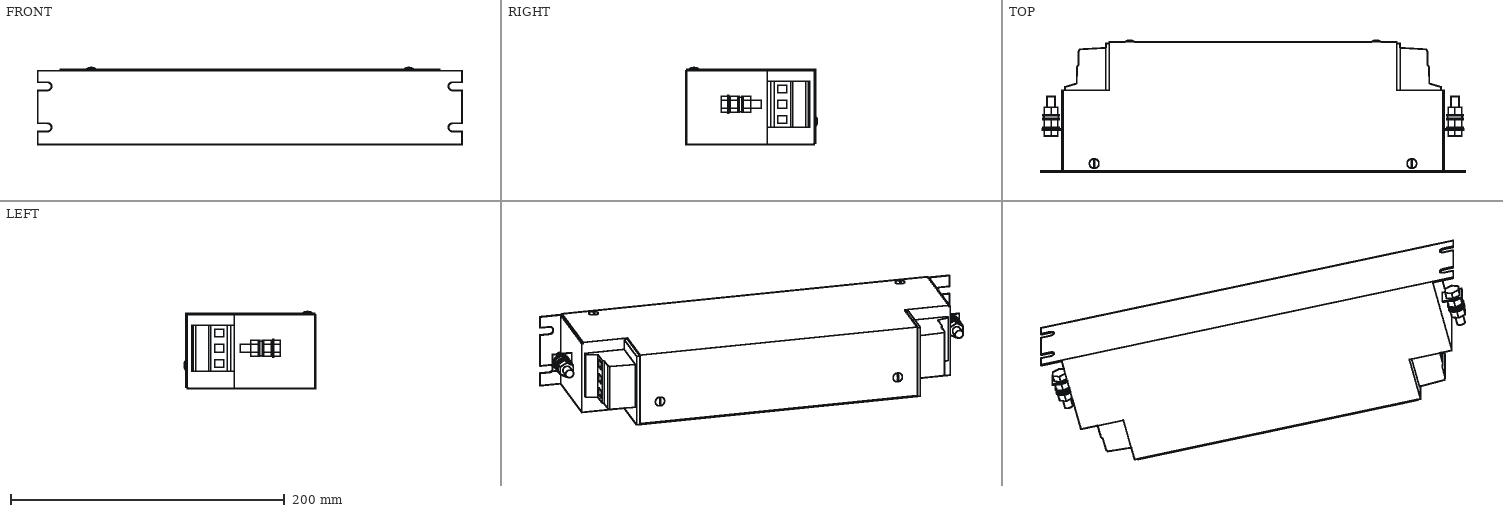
import cadquery as cq
import math

SHEET = 1.0
PLATE_LENGTH = 310.0
PLATE_HEIGHT = 54.0
CASE_LENGTH = 279.0
CASE_HEIGHT = PLATE_HEIGHT
CASE_BACK = 94.0
COVER_LENGTH = CASE_LENGTH - 2 * SHEET
COVER_TOP = CASE_HEIGHT + SHEET
COVER_BACK = CASE_BACK + SHEET

RECESS_FRONT = 59.8
RECESS_WALL_X = 107.5
COVER_WALL_X = 105.0

SLOT_WIDTH = 5.8
SLOT_DEPTH = 10.0
SLOT_SPACING = 30.0
SLOT_MID_Z = 27.6

CONNECTION_Z = 29.5
POLE_COUNT = 3
POLE_PITCH = 11.2
BLOCK_HEIGHT = POLE_COUNT * POLE_PITCH
BLOCK_REAR_Y = 90.8
BLOCK_REAR_CORNER = (126.6, 89.7)
BLOCK_CHAMFER_END = (127.5, 87.9)
BLOCK_STEP_REAR = (127.6, 78.3)
BLOCK_STEP_FRONT = (128.6, 76.7)
BLOCK_LEDGE_INNER = (128.8, 64.7)
BLOCK_LEDGE_OUTER = (137.3, 62.2)
OPENING_Y = 70.5
OPENING_WIDTH = 6.5
OPENING_HEIGHT = 5.6
OPENING_DEPTH = 5.0

STUD_X = 147.5
STUD_DIAMETER = 6.0
STUD_TIP_Y = 55.2
HEX_FLATS = 10.0
HEX_TURN = 30
HEX_CORNERS = HEX_FLATS / math.cos(math.pi / 6)
WASHER_DIAMETER = 12.0
SPRING_DIAMETER = 10.6
TAB_HEIGHT = 13.0
HEAD_FRONT_Y = 26.2
HEAD_LENGTH = 4.5
WASHER_THICKNESS = 1.0
TAB_THICKNESS = 1.0
NUT_LENGTH = 5.5
SPRING_THICKNESS = 1.8

SCREW_DIAMETER = 7.0
SCREW_HEAD_HEIGHT = 1.38
SCREW_SLOT_WIDTH = 0.6
SCREW_SLOT_DEPTH = 1.0
TOP_SCREW_X = 116.0
TOP_SCREW_Y = 6.2
BACK_SCREW_X = 90.0
BACK_SCREW_Z = 17.0


def box(x_range, y_range, z_range):
    """Axis-aligned box given by its lower and upper limits."""
    size = [high - low for low, high in (x_range, y_range, z_range)]
    corner = cq.Vector(x_range[0], y_range[0], z_range[0])
    return cq.Workplane("XY").box(*size, centered=False).translate(corner)


def stepped_box(length, front, back, bottom, top, wall_x):
    """Box whose rear corners are cut back to wall_x behind the recess front."""
    wide = box((-length / 2, length / 2), (front, RECESS_FRONT), (bottom, top))
    return wide.union(box((-wall_x, wall_x), (front, back), (bottom, top)))


def mounting_plate():
    half_length = PLATE_LENGTH / 2
    plate = box((-half_length, half_length), (0, SHEET), (0, PLATE_HEIGHT))
    slots = (
        cq.Workplane("XZ")
        .pushPoints([
            (side * half_length, SLOT_MID_Z + step * SLOT_SPACING / 2)
            for side in (-1, 1)
            for step in (-1, 1)
        ])
        .slot2D(2 * SLOT_DEPTH, SLOT_WIDTH)
        .extrude(-SHEET)
    )
    return plate.cut(slots)


def cover():
    top_sheet = stepped_box(COVER_LENGTH, SHEET, COVER_BACK, CASE_HEIGHT, COVER_TOP, COVER_WALL_X)
    back_flap = box((-COVER_WALL_X, COVER_WALL_X), (CASE_BACK, COVER_BACK), (SHEET, COVER_TOP))
    return top_sheet.union(back_flap)


def terminal_block():
    """Block for the +X recess, with one wire opening for each pole."""
    block = (
        cq.Workplane("XY", origin=(0, 0, CONNECTION_Z - BLOCK_HEIGHT / 2))
        .moveTo(RECESS_WALL_X, RECESS_FRONT)
        .lineTo(RECESS_WALL_X, BLOCK_REAR_Y)
        .lineTo(*BLOCK_REAR_CORNER)
        .lineTo(*BLOCK_CHAMFER_END)
        .lineTo(*BLOCK_STEP_REAR)
        .lineTo(*BLOCK_STEP_FRONT)
        .lineTo(*BLOCK_LEDGE_INNER)
        .lineTo(*BLOCK_LEDGE_OUTER)
        .lineTo(BLOCK_LEDGE_OUTER[0], RECESS_FRONT)
        .close()
        .extrude(BLOCK_HEIGHT)
    )
    openings = (
        cq.Workplane("YZ", origin=(BLOCK_LEDGE_INNER[0], OPENING_Y, CONNECTION_Z))
        .rarray(1, POLE_PITCH, 1, POLE_COUNT)
        .rect(OPENING_WIDTH, OPENING_HEIGHT)
        .extrude(-OPENING_DEPTH)
    )
    return block.cut(openings)


def earth_stud():
    """Stud on the +X end: bolt, washers and nuts stacked along Y on a square-ended tab."""

    def at(y):
        return cq.Workplane("XZ", origin=(STUD_X, y, CONNECTION_Z))

    def disc(y, diameter, thickness):
        return at(y).circle(diameter / 2).extrude(-thickness)

    def hexagon(y, corners, length):
        return at(y).transformed(rotate=(0, 0, HEX_TURN)).polygon(6, corners).extrude(-length)

    stud = disc(HEAD_FRONT_Y, STUD_DIAMETER, STUD_TIP_Y - HEAD_FRONT_Y)
    stud = stud.union(hexagon(HEAD_FRONT_Y, HEX_CORNERS, HEAD_LENGTH))

    tab_y = HEAD_FRONT_Y + HEAD_LENGTH
    tab = box(
        (CASE_LENGTH / 2, STUD_X + TAB_HEIGHT / 2),
        (tab_y, tab_y + TAB_THICKNESS),
        (CONNECTION_Z - TAB_HEIGHT / 2, CONNECTION_Z + TAB_HEIGHT / 2),
    )
    stud = stud.union(tab)

    y = tab_y + TAB_THICKNESS
    stack = (
        (disc, WASHER_DIAMETER, WASHER_THICKNESS),
        (hexagon, HEX_CORNERS, NUT_LENGTH),
        (disc, WASHER_DIAMETER, WASHER_THICKNESS),
        (disc, SPRING_DIAMETER, SPRING_THICKNESS),
        (disc, WASHER_DIAMETER, WASHER_THICKNESS),
        (hexagon, HEX_CORNERS, NUT_LENGTH),
    )
    for make_piece, diameter, length in stack:
        stud = stud.union(make_piece(y, diameter, length))
        y += length
    return stud


def screw_head():
    """Dome head standing on Z = 0, with its driver slot along Y."""
    radius = SCREW_DIAMETER / 2
    ball_radius = (radius**2 + SCREW_HEAD_HEIGHT**2) / (2 * SCREW_HEAD_HEIGHT)
    ball = cq.Workplane("XY").sphere(ball_radius).translate((0, 0, SCREW_HEAD_HEIGHT - ball_radius))
    head = ball.intersect(box((-radius, radius), (-radius, radius), (0, SCREW_HEAD_HEIGHT)))
    slot_floor = SCREW_HEAD_HEIGHT - SCREW_SLOT_DEPTH
    half_slot = SCREW_SLOT_WIDTH / 2
    slot = box((-half_slot, half_slot), (-radius, radius), (slot_floor, SCREW_HEAD_HEIGHT))
    return head.cut(slot)


def both_ends(feature):
    """The feature together with its mirror image at the -X end."""
    return feature.union(feature.mirror("YZ"))


case = stepped_box(CASE_LENGTH, 0, CASE_BACK, 0, CASE_HEIGHT, RECESS_WALL_X)
top_screw = screw_head().translate((TOP_SCREW_X, TOP_SCREW_Y, COVER_TOP))
back_screw = (
    screw_head()
    .rotate((0, 0, 0), (1, 0, 0), -90)
    .translate((BACK_SCREW_X, COVER_BACK, BACK_SCREW_Z))
)

result = case.union(mounting_plate()).union(cover())
for feature in (terminal_block(), earth_stud(), top_screw, back_screw):
    result = result.union(both_ends(feature))